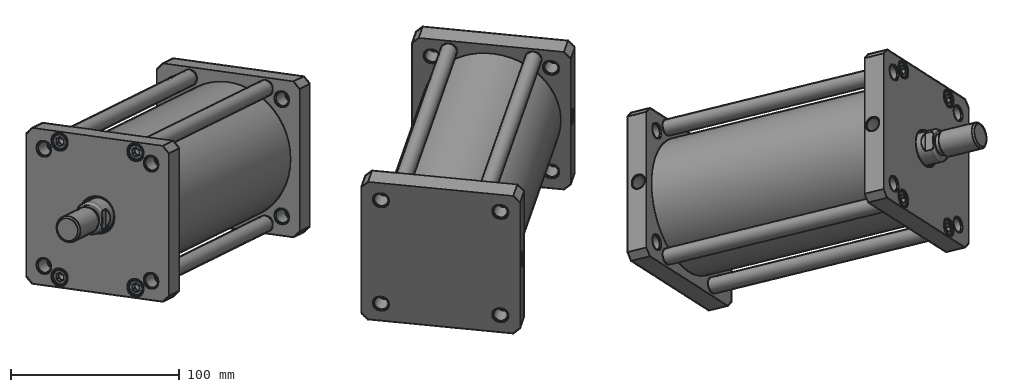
import cadquery as cq
import math


plate_side = 96.0
plate_thickness = 13.2
plate_corner_chamfer = 4.1
tube_length = 152.5
rear_plate_start = plate_thickness + tube_length

tube_diameter = 84.0
tube_bore = 80.0

mount_spacing = 72.0
mount_diameter = 8.5
mount_mouth_diameter = 10.0

port_diameter = 8.5
port_mouth_diameter = 9.3
port_depth = 17.4
port_tip_angle = 118.0
port_from_inner_face = 5.6
port_bar_diameter = 5.0

tie_spacing_x = 51.0
tie_spacing_z = 83.3
tie_diameter = 10.0
tie_end_chamfer = 0.7
tie_neck_diameter = 7.0
tie_head_diameter = 10.0
tie_head_chamfer = 0.7
tie_head_height = 6.0
tie_head_recess = 0.5
counterbore_diameter = 10.5
counterbore_mouth_diameter = 11.0
counterbore_depth = tie_head_recess + tie_head_height
socket_flats = 5.0
socket_depth = 3.3
socket_tip_angle = 118.0

rod_radius = 20.0 / 2
rod_recess_diameter = 22.0
rod_recess_depth = 2.2
rod_mouth_diameter = 23.0
rod_reach = 38.0
shoulder_reach = 10.5
shoulder_round = 2.0
shoulder_round_length = 1.9
rod_neck_radius = 13.5 / 2
thread_start = 13.0
thread_radius = 16.0 / 2
thread_lead_in = 0.7
tip_chamfer = 1.0
wrench_flats = 16.3
flats_start = 4.5
flats_end = 10.2


def rod_along_y(diameter, y_start, y_end):
    """Solid cylinder on the Y axis from y_start to y_end."""
    length = y_end - y_start
    return cq.Workplane("XZ", origin=(0, y_start, 0)).circle(diameter / 2).extrude(-length)


def cone_along_y(start_diameter, end_diameter, y_start, y_end):
    """Solid cone frustum on the Y axis; either end may shrink to a point."""
    profile = [(0, y_start), (start_diameter / 2, y_start)]
    if end_diameter > 0:
        profile.append((end_diameter / 2, y_end))
    profile.append((0, y_end))
    return cq.Workplane("XY").polyline(profile).close().revolve(360, (0, 0, 0), (0, 1, 0))


def drill_tip_length(diameter, tip_angle):
    """Length of the conical bottom of a drilled hole."""
    return diameter / 2 / math.tan(math.radians(tip_angle / 2))


def corner_places(spacing_x, spacing_z):
    """Offsets of four features placed symmetrically about the axis."""
    return [(x, 0, z) for x in (-spacing_x / 2, spacing_x / 2) for z in (-spacing_z / 2, spacing_z / 2)]


tie_places = corner_places(tie_spacing_x, tie_spacing_z)
mount_places = corner_places(mount_spacing, mount_spacing)


def chamfered_recess(diameter, mouth_diameter, depth):
    """Flat-bottomed recess from Y = 0, with a 45 degree chamfer at its mouth."""
    mouth_depth = (mouth_diameter - diameter) / 2
    return rod_along_y(diameter, 0, depth).union(cone_along_y(mouth_diameter, diameter, 0, mouth_depth))


def mount_hole_cutter():
    """Through hole with a chamfered mouth at each plate face."""
    mouth_depth = (mount_mouth_diameter - mount_diameter) / 2
    hole = rod_along_y(mount_diameter, 0, plate_thickness)
    front_mouth = cone_along_y(mount_mouth_diameter, mount_diameter, 0, mouth_depth)
    rear_mouth = cone_along_y(
        mount_diameter, mount_mouth_diameter, plate_thickness - mouth_depth, plate_thickness
    )
    return hole.union(front_mouth).union(rear_mouth)


def port_cutter(port_y):
    """Blind port drilled from the -X side, with a round bar left standing across its bottom."""
    mouth_depth = (port_mouth_diameter - port_diameter) / 2
    drill_tip = port_depth + drill_tip_length(port_diameter, port_tip_angle)
    profile = [
        (0, 0),
        (port_mouth_diameter / 2, 0),
        (port_diameter / 2, mouth_depth),
        (port_diameter / 2, port_depth),
        (0, drill_tip),
    ]
    port = cq.Workplane("XY").polyline(profile).close().revolve(360, (0, 0, 0), (0, 1, 0))
    port = port.rotate((0, 0, 0), (0, 0, 1), -90)
    bar = rod_along_y(port_bar_diameter, -port_diameter, port_diameter).translate((port_depth, 0, 0))
    return port.cut(bar).translate((-plate_side / 2, port_y, 0))


def make_plate(port_y):
    """Square plate from Y = 0 to its thickness, with its mounting holes and air port."""
    plate = cq.Workplane("XY").box(plate_side, plate_thickness, plate_side)
    plate = plate.edges("|Y").chamfer(plate_corner_chamfer)
    plate = plate.translate((0, plate_thickness / 2, 0))
    for place in mount_places:
        plate = plate.cut(mount_hole_cutter().translate(place))
    return plate.cut(port_cutter(port_y))


def make_front_plate():
    """Plate with the piston rod bore and the counterbored tie rod holes."""
    plate = make_plate(plate_thickness - port_from_inner_face)
    plate = plate.cut(rod_along_y(2 * rod_radius, 0, plate_thickness))
    plate = plate.cut(chamfered_recess(rod_recess_diameter, rod_mouth_diameter, rod_recess_depth))
    tie_hole = rod_along_y(tie_neck_diameter, 0, plate_thickness)
    tie_hole = tie_hole.union(
        chamfered_recess(counterbore_diameter, counterbore_mouth_diameter, counterbore_depth)
    )
    for place in tie_places:
        plate = plate.cut(tie_hole.translate(place))
    return plate


def make_rear_plate():
    """Plate that closes the far end of the tube."""
    return make_plate(port_from_inner_face).translate((0, rear_plate_start, 0))


def make_tube():
    """Plain tube between the two plates."""
    tube = rod_along_y(tube_diameter, plate_thickness, rear_plate_start)
    return tube.cut(rod_along_y(tube_bore, plate_thickness, rear_plate_start))


def make_tie_rod(place):
    """Bar between the plates, with a neck through the front plate and a socket head."""
    bar = rod_along_y(tie_diameter, plate_thickness, rear_plate_start)
    bar = bar.faces("<Y or >Y").chamfer(tie_end_chamfer)
    neck = rod_along_y(tie_neck_diameter, counterbore_depth, plate_thickness)
    head = rod_along_y(tie_head_diameter, tie_head_recess, counterbore_depth)
    head = head.faces("<Y").chamfer(tie_head_chamfer)
    return bar.union(neck).union(head).cut(socket_cutter()).translate(place)


def socket_cutter():
    """Hexagonal socket with corners up and down and a drilled conical bottom."""
    socket_corners = socket_flats / math.cos(math.radians(30))
    socket_bottom = tie_head_recess + socket_depth
    hexagon = cq.Workplane("XZ", origin=(0, tie_head_recess, 0)).polygon(6, socket_corners)
    hexagon = hexagon.extrude(-socket_depth).rotate((0, 0, 0), (0, 1, 0), 30)
    tip_length = drill_tip_length(socket_flats, socket_tip_angle)
    return hexagon.union(cone_along_y(socket_flats, 0, socket_bottom, socket_bottom + tip_length))


def shoulder_radius(distance):
    """Radius of the rounded shoulder at a distance past the start of its rounding."""
    return rod_radius - shoulder_round + math.sqrt(shoulder_round ** 2 - distance ** 2)


def make_piston_rod():
    """Turned rod with a rounded shoulder, a neck and a thread-sized end, then two wrench flats."""
    round_start = -shoulder_reach + shoulder_round_length
    half_round = shoulder_round_length / 2
    profile = (
        cq.Workplane("XY")
        .moveTo(0, plate_thickness)
        .lineTo(rod_radius, plate_thickness)
        .lineTo(rod_radius, round_start)
        .threePointArc(
            (shoulder_radius(half_round), round_start - half_round),
            (shoulder_radius(shoulder_round_length), -shoulder_reach),
        )
        .lineTo(rod_neck_radius, -shoulder_reach)
        .lineTo(rod_neck_radius, -thread_start)
        .lineTo(thread_radius, -thread_start - thread_lead_in)
        .lineTo(thread_radius, -rod_reach + tip_chamfer)
        .lineTo(thread_radius - tip_chamfer, -rod_reach)
        .lineTo(0, -rod_reach)
        .close()
    )
    rod = profile.revolve(360, (0, 0, 0), (0, 1, 0))
    flat = wrench_flat_cutter()
    return rod.cut(flat).cut(flat.mirror("YZ"))


def wrench_flat_cutter():
    """Flat on the +X side of the shoulder, ending in a 45 degree slope toward the plate."""
    flat_x = wrench_flats / 2
    flat_depth = rod_radius - flat_x
    profile = [
        (flat_x, -flats_end),
        (flat_x, -flats_start),
        (rod_radius, -flats_start + flat_depth),
        (rod_radius, -flats_end),
    ]
    return cq.Workplane("XY").polyline(profile).close().extrude(rod_radius, both=True)


front_plate = make_front_plate()
rear_plate = make_rear_plate()
tube = make_tube()
piston_rod = make_piston_rod()
tie_rods = [make_tie_rod(place) for place in tie_places]

result = cq.Compound.makeCompound(
    [
        front_plate.val(),
        rear_plate.val(),
        tube.val(),
        piston_rod.val(),
        *[tie_rod.val() for tie_rod in tie_rods],
    ]
)